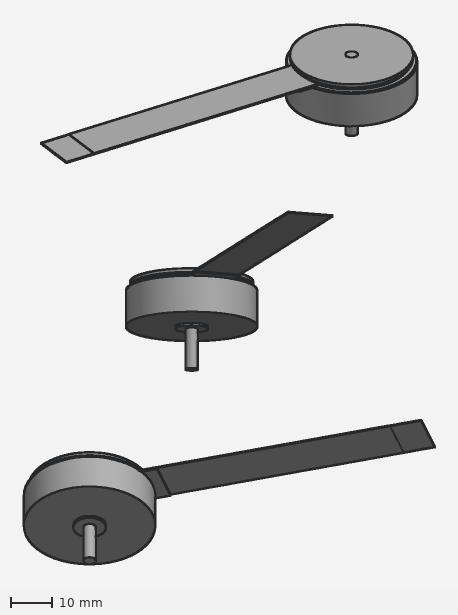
import cadquery as cq

total_length = 102.0

housing_radius = 16.0
housing_height = 9.3
rim_chamfer = 0.3
boss_radius = 4.0
boss_height = 0.6
tab_reach = 18.9
tab_thickness = 0.3

pad_radius = 14.4
pad_thickness = 0.6
tail_thickness = 0.3
contact_thickness = 0.25
tail_width = 11.4
tail_end_y = housing_radius - total_length
contact_length = 8.0

cover_radius = 15.0
cover_thickness = 0.9
cover_top = 11.1
spigot_radius = 14.4

shaft_radius = 1.5
shaft_bottom = -10.7


def cylinder(radius, bottom, top):
    return cq.Workplane("XY").workplane(offset=bottom).circle(radius).extrude(top - bottom)


def strip(start_y, end_y, bottom, thickness):
    """Flat bar of the tail's width, running toward -Y from start_y to end_y."""
    length = start_y - end_y
    return (
        cq.Workplane("XY")
        .box(tail_width, length, thickness, centered=(True, True, False))
        .translate((0, (start_y + end_y) / 2, bottom))
    )


def make_shaft():
    return cylinder(shaft_radius, shaft_bottom, cover_top)


def make_housing():
    drum = cylinder(housing_radius, 0, housing_height).faces(">Z").edges().chamfer(rim_chamfer)
    boss = cylinder(boss_radius, -boss_height, 0)
    tab = strip(0, -tab_reach, housing_height - tab_thickness, tab_thickness)
    return drum.union(boss).union(tab).cut(make_shaft())


def make_cable():
    pad = cylinder(pad_radius, housing_height, housing_height + pad_thickness)
    contact_start_y = tail_end_y + contact_length
    tail = strip(0, contact_start_y, housing_height, tail_thickness)
    contact = strip(contact_start_y, tail_end_y, housing_height, contact_thickness)
    return pad.union(tail).union(contact).cut(make_shaft())


def make_cover():
    disc_bottom = cover_top - cover_thickness
    spigot = cylinder(spigot_radius, housing_height + pad_thickness, disc_bottom)
    disc = cylinder(cover_radius, disc_bottom, cover_top)
    return spigot.union(disc).cut(make_shaft())


housing = make_housing()
cable = make_cable()
cover = make_cover()
shaft = make_shaft()

result = cq.Compound.makeCompound([housing.val(), cable.val(), cover.val(), shaft.val()])